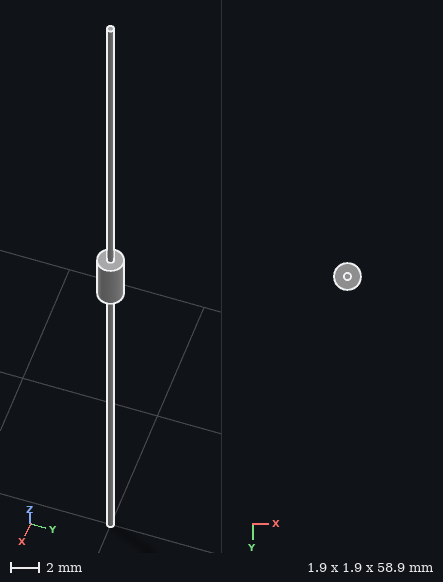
import cadquery as cq

body_diameter = 1.9
body_length = 3.9
lead_diameter = 0.5
lead_length = 27.5
overall_length = body_length + 2 * lead_length


def centered_cylinder(diameter, length):
    """Cylinder along Z, centred on the origin."""
    return cq.Workplane("XY").cylinder(length, diameter / 2)


body = centered_cylinder(body_diameter, body_length)
leads = centered_cylinder(lead_diameter, overall_length)

result = body.union(leads)